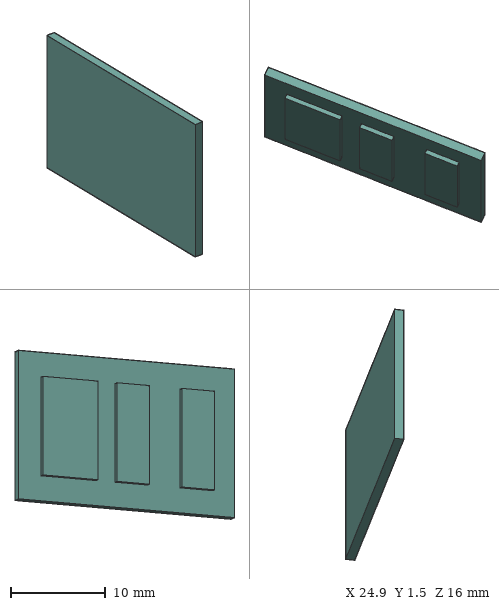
import cadquery as cq

plate_length = 24.92
plate_height = 16.0
plate_thickness = 1.0

pad_thickness = 0.5
pad_height = 10.62
narrow_pad_width = 3.75
wide_pad_width = 6.35

pads = [
    (2.55, narrow_pad_width),
    (10.05, narrow_pad_width),
    (16.0, wide_pad_width),
]


def make_plate():
    return cq.Workplane("XY").box(plate_length, plate_thickness, plate_height)


def make_pad(left_offset, width):
    """Pad seated on the back face of the plate."""
    center_x = -plate_length / 2 + left_offset + width / 2
    center_y = (plate_thickness + pad_thickness) / 2
    pad = cq.Workplane("XY").box(width, pad_thickness, pad_height)
    return pad.translate((center_x, center_y, 0))


result = make_plate()
for left_offset, width in pads:
    result = result.union(make_pad(left_offset, width))